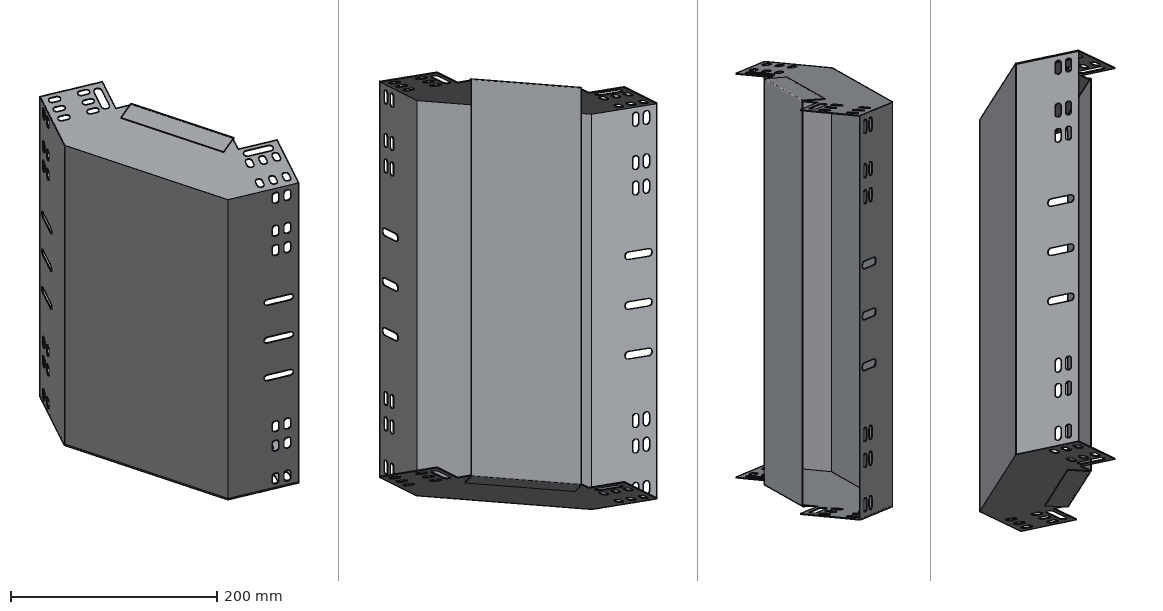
import cadquery as cq
import math

overall_height = 403.0
overall_width = 280.0
sheet = 1.0
tray_height = overall_height - 2 * sheet

diagonal = math.sqrt(0.5)
wing_length = 73.0
wing_end = 64.5
wing_inner_edge = 40.0
notch_edge = 15.7

tip_x = overall_width / 2
overall_depth = (wing_length + wing_end) * diagonal
front_y = -overall_depth / 2
tip_y = front_y + wing_length * diagonal
fold_x = tip_x - wing_length * diagonal
corner_x = tip_x - wing_end * diagonal
corner_y = overall_depth / 2
notch_x = corner_x - wing_inner_edge * diagonal
notch_y = corner_y - wing_inner_edge * diagonal
back_x = notch_x - notch_edge * diagonal
back_y = notch_y + notch_edge * diagonal

bracket_width = 111.0
bracket_flange = 23.5
bend_radius = 0.6

slot_width = 7.0
short_slot_length = 12.0
short_slot_rows = (12.5, 42.5)
short_slot_first = 8.5
short_slot_pitch = 13.7
short_slot_count = 3
long_slot_length = 30.2
long_slot_width = 8.0
long_slot_row = 56.0

wall_slot_length = 14.0
wall_slot_columns = (11.5, 23.8)
wall_slot_levels = (117.7, 143.5, 187.5)
cross_slot_length = 30.2
cross_slot_width = 7.5
cross_slot_column = 20.5
cross_slot_levels = (-50.5, 0.0, 50.5)


def mirrored_outline(right_half):
    """Closed polygon from its right half, mirrored across X = 0."""
    left_half = [(-x, y) for x, y in reversed(right_half)]
    return cq.Workplane("XY").polyline(right_half + left_half).close()


def make_tray_blank():
    """Folded sheet: front wall, two wing walls, top and bottom; open at the back and wing ends."""
    outline = [
        (fold_x, front_y),
        (tip_x, tip_y),
        (corner_x, corner_y),
        (notch_x, notch_y),
        (back_x, back_y),
    ]
    block = mirrored_outline(outline).extrude(tray_height / 2, both=True)

    inner_front_y = front_y + sheet
    inner_fold_x = fold_x - sheet * math.tan(math.radians(22.5))
    past_end = overall_depth
    inside = [
        (inner_fold_x, inner_front_y),
        (inner_fold_x + past_end, inner_front_y + past_end),
    ]
    cavity = mirrored_outline(inside).extrude(tray_height / 2 - sheet, both=True)
    return block.cut(cavity)


def wing_plane(side, normal):
    """Plane at the wing tip, its X axis pointing inward along the wing wall; side is -1 or 1."""
    inward = (-side, -1, 0)
    return cq.Plane(origin=(side * tip_x, tip_y, 0), xDir=inward, normal=normal)


def slot_cutters(plane, points, length, width, angle, reach):
    """Slot-shaped cutters that reach the same distance to both sides of the plane."""
    slots = cq.Workplane(plane).pushPoints(points).slot2D(length, width, angle)
    return slots.extrude(reach, both=True)


def cut_sheet_slots(tray, side):
    """Slots through the top and bottom sheets of one wing."""
    plane = wing_plane(side, (0, 0, 1))
    along_end = -side
    inward = [short_slot_first + i * short_slot_pitch for i in range(short_slot_count)]
    short_points = [(v, along_end * u) for u in short_slot_rows for v in inward]
    long_points = [(inward[short_slot_count // 2], along_end * long_slot_row)]
    tray = tray.cut(slot_cutters(plane, short_points, short_slot_length, slot_width, 90, overall_height))
    return tray.cut(slot_cutters(plane, long_points, long_slot_length, long_slot_width, 0, overall_height))


def cut_wall_slots(tray, side):
    """Slots through the front wall of one wing."""
    plane = wing_plane(side, (side, -1, 0))
    upright_points = [
        (column, half * level)
        for column in wall_slot_columns
        for level in wall_slot_levels
        for half in (-1, 1)
    ]
    cross_points = [(cross_slot_column, level) for level in cross_slot_levels]
    tray = tray.cut(slot_cutters(plane, upright_points, wall_slot_length, slot_width, 90, 2 * sheet))
    return tray.cut(slot_cutters(plane, cross_points, cross_slot_length, cross_slot_width, 0, 2 * sheet))


def make_tray():
    tray = make_tray_blank()
    for side in (-1, 1):
        tray = cut_sheet_slots(tray, side)
        tray = cut_wall_slots(tray, side)
    return tray


def make_bracket():
    """C-shaped sheet: a plate behind the tray and a bent flange over its top and bottom."""
    outer_y = back_y + bend_radius + sheet
    block = cq.Workplane("XY").box(bracket_width, bracket_flange, overall_height)
    block = block.edges(">Y and |X").fillet(bend_radius + sheet)
    gap = cq.Workplane("XY").box(bracket_width, bracket_flange, tray_height)
    gap = gap.edges(">Y and |X").fillet(bend_radius)
    bracket = block.cut(gap.translate((0, -sheet, 0)))
    return bracket.translate((0, outer_y - bracket_flange / 2, 0))


tray = make_tray()
bracket = make_bracket()

result = cq.Compound.makeCompound([tray.solids().val(), bracket.solids().val()])